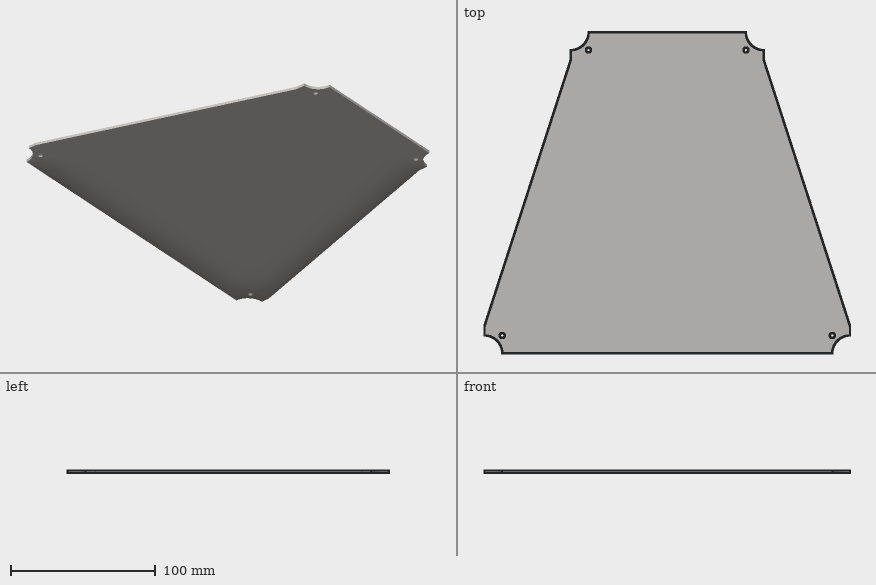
import cadquery as cq

wide_width = 252.8
narrow_width = 133.5
length = 222.0
thickness = 2.0
notch_radius = 12.5
wide_straight = 18.7
narrow_straight = 19.2
hole_diameter = 3.3
hole_inset = notch_radius

half_wide = wide_width / 2
half_narrow = narrow_width / 2
half_length = length / 2


def tapered_blank():
    """Symmetric plate with short straight sides at both ends of the taper."""
    right_side = [
        (half_wide, -half_length),
        (half_wide, -half_length + wide_straight),
        (half_narrow, half_length - narrow_straight),
        (half_narrow, half_length),
    ]
    left_side = [(-x, y) for x, y in reversed(right_side)]
    return cq.Workplane("XY").polyline(right_side + left_side).close().extrude(thickness)


def corner_cylinders(inset, diameter):
    """Through cutters at the four corners, moved inward by the inset in X and Y."""
    end_y = half_length - inset
    centres = []
    for side in (-1, 1):
        centres.append((side * (half_wide - inset), -end_y))
        centres.append((side * (half_narrow - inset), end_y))
    return cq.Workplane("XY").pushPoints(centres).circle(diameter / 2).extrude(thickness)


corner_notches = corner_cylinders(0, 2 * notch_radius)
mounting_holes = corner_cylinders(hole_inset, hole_diameter)

result = tapered_blank().cut(corner_notches).cut(mounting_holes)